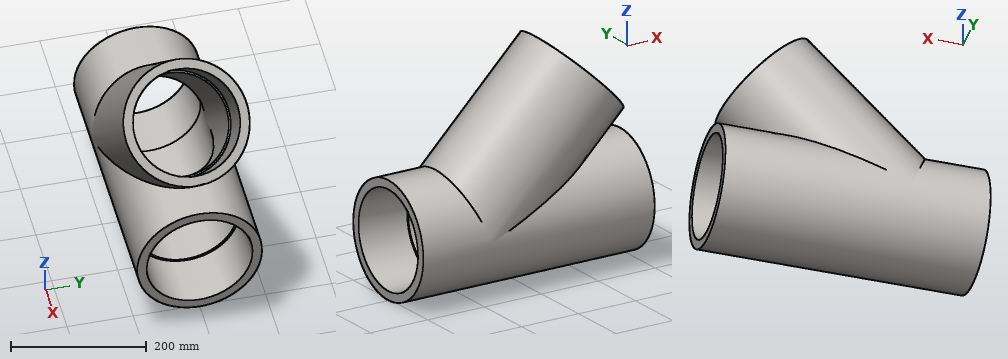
import cadquery as cq
import math

run_length = 407.0
outer_diameter = 189.0
bore_diameter = 154.0
socket_diameter = 160.0
socket_depth = 85.5

overall_height = 363.5
branch_angle = 45.0
junction_x = 121.0

angle = math.radians(branch_angle)
outer_radius = outer_diameter / 2
rim_rise = outer_radius * math.cos(angle)
branch_length = (overall_height - outer_radius - rim_rise) / math.sin(angle)

run_direction = cq.Vector(1, 0, 0)
branch_direction = cq.Vector(math.cos(angle), 0, math.sin(angle))
run_start = cq.Vector(0, 0, 0)
run_end = run_direction * run_length
junction = run_direction * junction_x
branch_end = junction + branch_direction * branch_length


def cylinder(diameter, length, start, direction):
    """Round bar running from start along direction."""
    return cq.Workplane(cq.Solid.makeCylinder(diameter / 2, length, start, direction))


run_body = cylinder(outer_diameter, run_length, run_start, run_direction)
branch_body = cylinder(outer_diameter, branch_length, junction, branch_direction)
body = run_body.union(branch_body)

run_bore = cylinder(bore_diameter, run_length, run_start, run_direction)
branch_bore = cylinder(bore_diameter, branch_length, junction, branch_direction)
result = body.cut(run_bore).cut(branch_bore)

open_ends = [
    (run_start, run_direction),
    (run_end, -run_direction),
    (branch_end, -branch_direction),
]
for end, inward in open_ends:
    result = result.cut(cylinder(socket_diameter, socket_depth, end, inward))